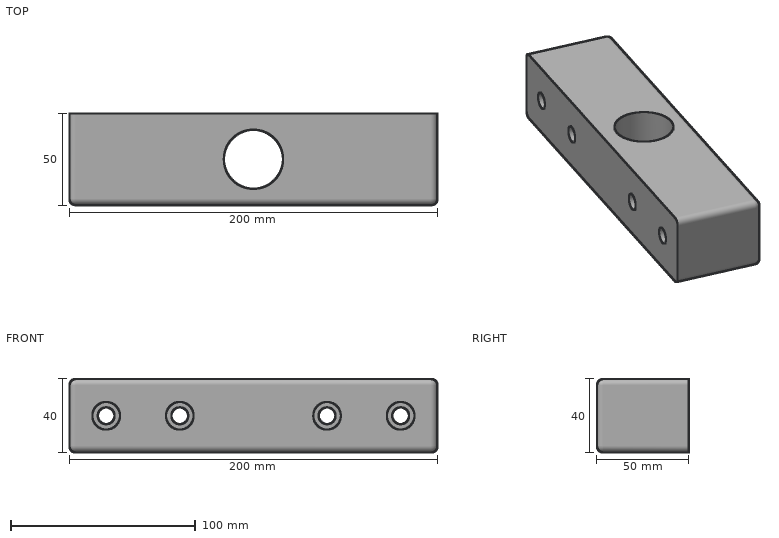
import cadquery as cq

length = 200.0
depth = 50.0
height = 40.0
edge_radius = 3.5

bore_diameter = 32.0

screw_diameter = 9.0
head_diameter = 15.0
head_depth = 9.0
inner_offset = length / 5
outer_offset = 2 * inner_offset
screw_positions = [(x, 0) for x in (-outer_offset, -inner_offset, inner_offset, outer_offset)]

block = cq.Workplane("XY").box(length, depth, height)
block = block.edges("not(>Y)").fillet(edge_radius)

bored = block.faces(">Z").workplane(origin=(0, 0, 0)).hole(bore_diameter)

result = (
    bored.faces("<Y")
    .workplane(origin=(0, 0, 0))
    .pushPoints(screw_positions)
    .cboreHole(screw_diameter, head_diameter, head_depth)
)